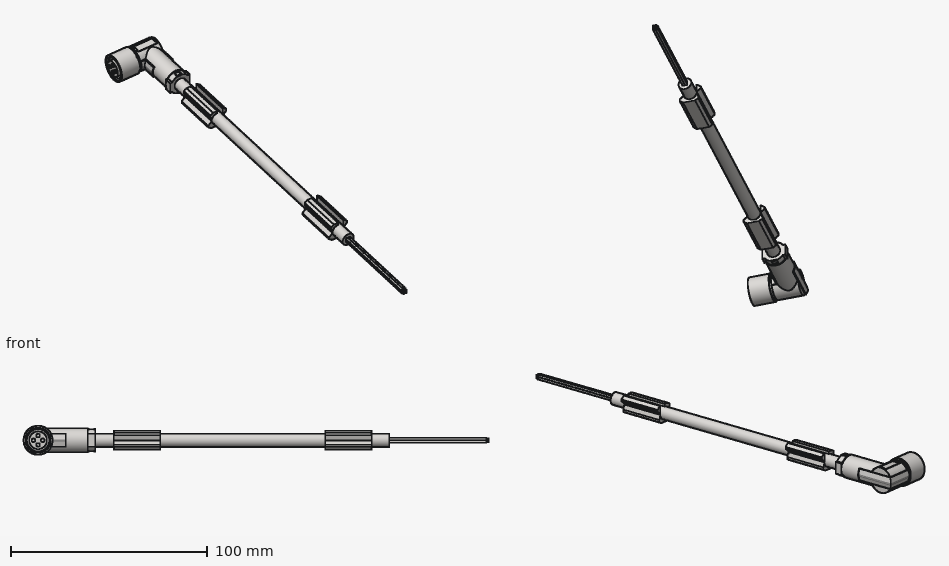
import cadquery as cq


OVERALL_LENGTH = 236.2
NUT_RADIUS = 7.45
X_START = -NUT_RADIUS
X_END = X_START + OVERALL_LENGTH

BODY_RADIUS = 6.9
BODY_BACK_Y = 5.5
BODY_FRONT_Y = -8.5
ARM_RADIUS = 6.1
ARM_END_X = 25.3

KEEL_REACH_Y = 6.73
KEEL_SLOPE_DROP = 0.83
KEEL_HALF_WIDTH = 3.2
KEEL_CREST_HALF_WIDTH = 0.35
KEEL_END_X = 14.0

LABEL_WIDTH = 4.7
LABEL_BACK_Y = 4.5
LABEL_FRONT_Y = -7.0
LABEL_FLOOR_Z = 6.1

COLLAR_END_X = 29.0
COLLAR_RADIUS = 5.79
COLLAR_PAD_REACH = 6.1
COLLAR_PAD_WIDTH = 6.4
COLLAR_POCKET_LENGTH = 2.8
COLLAR_POCKET_WIDTH = 2.8
COLLAR_POCKET_FLOOR = 5.0

NECK_RADIUS = 6.4
NUT_BACK_Y = -9.7
NUT_FRONT_Y = -20.8
BORE_RADIUS = 5.7
BORE_MOUTH_CHAMFER = 0.7
BORE_DEPTH = 7.0
INSERT_RADIUS = 4.5
INSERT_FRONT_Y = -21.38
CONTACT_COUNT = 4
CONTACT_CIRCLE_RADIUS = 2.4
CONTACT_HOLE_RADIUS = 1.0
CONTACT_HOLE_DEPTH = 4.7

CABLE_RADIUS = 3.43
CABLE_END_X = 178.4
WIRE_RADIUS = 0.7
WIRE_OFFSET = 0.65
WIRE_END_X = 227.7
CONDUCTOR_RADIUS = 0.35

CLIP_STARTS_X = (38.5, 145.8)
CLIP_LENGTH = 23.6
CLIP_HALF_OUTLINE = [
    (-2.5, 4.85),
    (-4.3, 3.8),
    (-4.3, 2.5),
    (-3.3, -0.2),
    (-5.7, -2.4),
    (-5.7, -3.3),
    (-3.8, -4.85),
]
CLIP_SLOT_WIDTH = 3.3


def rod_x(x_start, x_end, radius, y=0.0, z=0.0):
    """Cylinder along X between two X positions."""
    return cq.Workplane("YZ", origin=(x_start, y, z)).circle(radius).extrude(x_end - x_start)


def rod_y(y_back, y_front, radius):
    """Cylinder on the Y axis from its back end to its front end."""
    return cq.Workplane("XZ", origin=(0, y_back, 0)).circle(radius).extrude(y_back - y_front)


def box_between(low, high):
    """Box from its lowest to its highest corner."""
    sizes = [b - a for a, b in zip(low, high)]
    return cq.Workplane("XY").box(*sizes, centered=False).translate(low)


def keel_outline(reach):
    """Flat hexagonal section with a narrow crest on both sides."""
    shoulder = reach - KEEL_SLOPE_DROP
    right_side = [
        (shoulder, -KEEL_HALF_WIDTH),
        (reach, -KEEL_CREST_HALF_WIDTH),
        (reach, KEEL_CREST_HALF_WIDTH),
        (shoulder, KEEL_HALF_WIDTH),
    ]
    return right_side + [(-u, -v) for u, v in right_side]


def make_elbow():
    keel_along_arm = (
        cq.Workplane("YZ", origin=(X_START, 0, 0))
        .polyline(keel_outline(KEEL_REACH_Y))
        .close()
        .extrude(KEEL_END_X - X_START)
    )
    keel_along_body = (
        cq.Workplane("XZ", origin=(0, KEEL_REACH_Y, 0))
        .polyline(keel_outline(NUT_RADIUS))
        .close()
        .extrude(KEEL_REACH_Y - BODY_FRONT_Y)
    )
    arm_side = box_between((0, -KEEL_REACH_Y, -ARM_RADIUS), (KEEL_END_X, KEEL_REACH_Y, ARM_RADIUS))
    front_side = box_between((X_START, BODY_FRONT_Y, -ARM_RADIUS), (NUT_RADIUS, 0, ARM_RADIUS))
    keel = (
        keel_along_arm.intersect(keel_along_body)
        .union(keel_along_arm.intersect(arm_side))
        .union(keel_along_body.intersect(front_side))
    )
    label_recess = box_between(
        (-LABEL_WIDTH / 2, LABEL_FRONT_Y, LABEL_FLOOR_Z),
        (LABEL_WIDTH / 2, LABEL_BACK_Y, NUT_RADIUS),
    )
    return (
        rod_y(BODY_BACK_Y, BODY_FRONT_Y, BODY_RADIUS)
        .union(rod_x(0, ARM_END_X, ARM_RADIUS))
        .union(keel)
        .cut(label_recess)
    )


def make_collar():
    collar = rod_x(ARM_END_X, COLLAR_END_X, COLLAR_RADIUS)
    side_pads = box_between(
        (ARM_END_X, -COLLAR_PAD_REACH, -COLLAR_PAD_WIDTH / 2),
        (COLLAR_END_X, COLLAR_PAD_REACH, COLLAR_PAD_WIDTH / 2),
    )
    pocket_start_x = (ARM_END_X + COLLAR_END_X - COLLAR_POCKET_LENGTH) / 2
    top_pocket = box_between(
        (pocket_start_x, -COLLAR_POCKET_WIDTH / 2, COLLAR_POCKET_FLOOR),
        (pocket_start_x + COLLAR_POCKET_LENGTH, COLLAR_POCKET_WIDTH / 2, COLLAR_PAD_REACH),
    )
    return collar.union(side_pads).cut(top_pocket).cut(top_pocket.mirror("XY"))


def make_nut():
    neck = rod_y(BODY_FRONT_Y, NUT_BACK_Y, NECK_RADIUS)
    nut = (
        rod_y(NUT_BACK_Y, NUT_FRONT_Y, NUT_RADIUS)
        .faces("<Y")
        .workplane()
        .circle(BORE_RADIUS)
        .cutBlind(-BORE_DEPTH)
        .faces("<Y")
        .edges("%CIRCLE")
        .edges(cq.selectors.RadiusNthSelector(0))
        .chamfer(BORE_MOUTH_CHAMFER)
    )
    return neck.union(nut)


def make_insert():
    contact_holes = (
        cq.Workplane("XZ", origin=(0, INSERT_FRONT_Y + CONTACT_HOLE_DEPTH, 0))
        .polarArray(CONTACT_CIRCLE_RADIUS, 0, 360, CONTACT_COUNT)
        .circle(CONTACT_HOLE_RADIUS)
        .extrude(CONTACT_HOLE_DEPTH)
    )
    return rod_y(NUT_BACK_Y, INSERT_FRONT_Y, INSERT_RADIUS).cut(contact_holes)


def make_cable():
    cable = rod_x(COLLAR_END_X, CABLE_END_X, CABLE_RADIUS)
    for y in (-WIRE_OFFSET, WIRE_OFFSET):
        for z in (-WIRE_OFFSET, WIRE_OFFSET):
            cable = cable.union(rod_x(CABLE_END_X, WIRE_END_X, WIRE_RADIUS, y, z))
            cable = cable.union(rod_x(WIRE_END_X, X_END, CONDUCTOR_RADIUS, y, z))
    return cable


def make_clip(x_start):
    """Marker clip whose section repeats after half a turn, with a slot that bares the cable top."""
    outline = CLIP_HALF_OUTLINE + [(-y, -z) for y, z in CLIP_HALF_OUTLINE]
    x_end = x_start + CLIP_LENGTH
    clip_top = CLIP_HALF_OUTLINE[0][1]
    clip = cq.Workplane("YZ", origin=(x_start, 0, 0)).polyline(outline).close().extrude(CLIP_LENGTH)
    slot = box_between((x_start, 0, 0), (x_end, CLIP_SLOT_WIDTH, clip_top))
    return clip.cut(slot)


result = make_elbow()
for piece in (make_collar(), make_nut(), make_insert(), make_cable()):
    result = result.union(piece)
for clip_start_x in CLIP_STARTS_X:
    result = result.union(make_clip(clip_start_x))